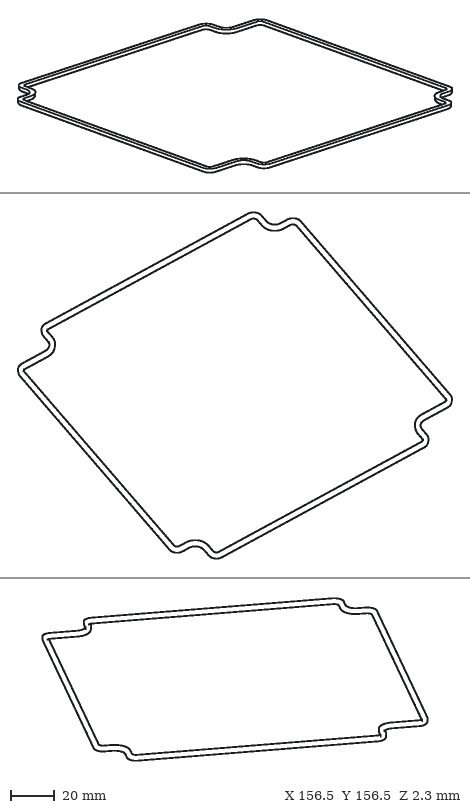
import math

import cadquery as cq

side = 156.5
height = 2.3

strip_width = 2.7
wall_draft = 4.5

notch_x = 13.0
shallow_notch_y = 13.0
deep_notch_y = 21.9

corner_radius = 4.5
notch_radius = 4.7

center_half = side / 2 - strip_width / 2
corner_center_radius = corner_radius - strip_width / 2
notch_center_radius = notch_radius + strip_width / 2


def notch_bends(sign_x, sign_y, notch_y):
    """Sharp points and bend radii of one notch, from the X side to the Y side."""
    wall_x = sign_x * (center_half - notch_x)
    wall_y = sign_y * (center_half - notch_y)
    return [
        (cq.Vector(sign_x * center_half, wall_y), corner_center_radius),
        (cq.Vector(wall_x, wall_y), notch_center_radius),
        (cq.Vector(wall_x, sign_y * center_half), corner_center_radius),
    ]


def toward(start, target, distance):
    """Point the given distance from start on the straight line to target."""
    return start + (target - start).normalized() * distance


def center_line():
    """Closed wire of straight runs joined by quarter-circle bends."""
    bends = (
        notch_bends(1, 1, shallow_notch_y)
        + notch_bends(-1, 1, deep_notch_y)[::-1]
        + notch_bends(-1, -1, shallow_notch_y)
        + notch_bends(1, -1, deep_notch_y)[::-1]
    )
    path = cq.Workplane("XY").moveTo(center_half, 0)
    for index, (point, radius) in enumerate(bends):
        previous_point = bends[index - 1][0]
        next_point = bends[(index + 1) % len(bends)][0]
        bend_start = toward(point, previous_point, radius)
        bend_end = toward(point, next_point, radius)
        path = path.lineTo(bend_start.x, bend_start.y)
        path = path.tangentArcPoint((bend_end.x, bend_end.y), relative=False)
    return path.close()


def strip_section():
    """Flat-topped section with drafted sides and a tangent round underside, on the +X side."""
    draft = math.radians(wall_draft)
    top_half = strip_width / 2
    round_radius = (top_half - height * math.tan(draft)) * math.cos(draft) / (1 - math.sin(draft))
    tangent_half = round_radius * math.cos(draft)
    tangent_z = round_radius * (1 - math.sin(draft))
    return (
        cq.Workplane("XZ")
        .moveTo(center_half - top_half, height)
        .lineTo(center_half - tangent_half, tangent_z)
        .threePointArc((center_half, 0), (center_half + tangent_half, tangent_z))
        .lineTo(center_half + top_half, height)
        .close()
    )


result = strip_section().sweep(center_line())